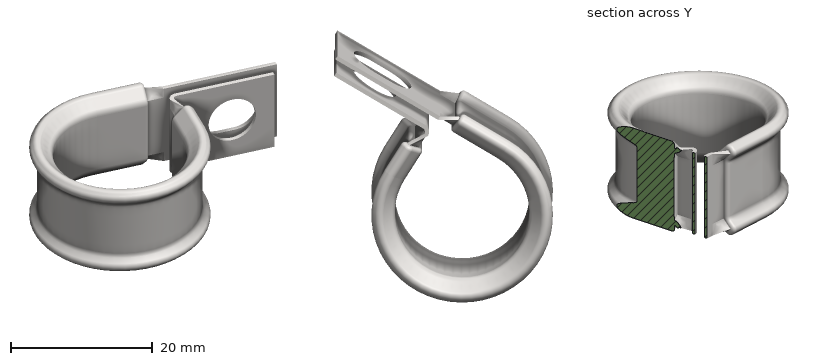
import cadquery as cq
import math


overall_width = 25.65
overall_height = 14.07
bore_radius = 9.5
outer_cover = 0.8
inner_cover = 0.8
lip_round = 0.8
lip_outer_center_z = 5.93
outer_bend_radius = 0.8
inner_bend_radius = 1.3
end_round = 0.55
long_arm_length = 7.85
short_arm_length = 5.02
loop_angle = 270

band_thickness = 0.6
band_height = 12.7
flare_length = 1.8
flare_angle = math.radians(45)
transition_length = 2.5
tab_bend_radius = 0.6

long_tab_end_y = 27.355
short_tab_end_y = 26.2
hole_y = 19.86
hole_diameter = 7.1
slot_length = 9.5

metal_inner = bore_radius + inner_cover
metal_outer = metal_inner + band_thickness
cushion_outer = metal_outer + outer_cover
half_band = band_height / 2
bend_start_x = -(short_arm_length + transition_length)
bend_center_y = metal_outer + tab_bend_radius
bend_outer_radius = tab_bend_radius + band_thickness
short_tab_outer_x = bend_start_x - bend_outer_radius


def polar(center, radius, degrees):
    """Point at an angle on a circle."""
    angle = math.radians(degrees)
    return (center[0] + radius * math.cos(angle), center[1] + radius * math.sin(angle))


def cushion_section():
    """Closed cushion section at the -X side of the loop, in the XZ plane."""
    lip_outer = (overall_width / 2 - lip_round, lip_outer_center_z)
    tip_z = overall_height / 2 - lip_round
    lip_inner = (lip_outer[0] - (tip_z - lip_outer_center_z), tip_z)

    outer_side = polar(lip_outer, lip_round, -45)
    inner_side = polar(lip_inner, lip_round, 135)
    outer_bend_r = cushion_outer + outer_bend_radius
    inner_bend_r = bore_radius + inner_bend_radius
    diagonal = math.sqrt(2)
    outer_bend = (
        outer_bend_r,
        outer_side[1] - outer_side[0] + outer_bend_r - diagonal * outer_bend_radius,
    )
    inner_bend = (
        inner_bend_r,
        inner_side[1] - inner_side[0] + inner_bend_r - diagonal * inner_bend_radius,
    )

    arcs = [
        (outer_bend, outer_bend_radius, 180, 135),
        (lip_outer, lip_round, -45, 45),
        (lip_inner, lip_round, 45, 135),
        (inner_bend, inner_bend_radius, 135, 180),
    ]
    upper = [
        [polar(c, radius, angle) for angle in (start, (start + end) / 2, end)]
        for c, radius, start, end in arcs
    ]
    lower = [[(r, -z) for r, z in reversed(arc)] for arc in reversed(upper)]

    outline = cq.Workplane("XZ").moveTo(-cushion_outer, 0)
    for arc in upper + lower:
        begin, middle, finish = [(-r, z) for r, z in arc]
        outline = outline.lineTo(*begin).threePointArc(middle, finish)
    return outline.close()


def flat_and_flared_sections():
    """Matching (x, z) corners of the band with its edges flat and with its edges flared."""
    outer_fold_z = half_band - flare_length
    inner_fold_z = outer_fold_z + band_thickness * math.tan(flare_angle / 2)
    tip_r = metal_outer + flare_length * math.sin(flare_angle)
    tip_z = outer_fold_z + flare_length * math.cos(flare_angle)
    inner_tip_r = tip_r - band_thickness * math.cos(flare_angle)
    inner_tip_z = tip_z + band_thickness * math.sin(flare_angle)

    flat = [
        (metal_outer, outer_fold_z),
        (metal_outer, half_band),
        (metal_inner, half_band),
        (metal_inner, inner_fold_z),
    ]
    flared = [
        (metal_outer, outer_fold_z),
        (tip_r, tip_z),
        (inner_tip_r, inner_tip_z),
        (metal_inner, inner_fold_z),
    ]

    def closed(half):
        return [(-r, z) for r, z in half] + [(-r, -z) for r, z in reversed(half)]

    return closed(flat), closed(flared)


def arm(length):
    """Straight cushion along +Y with a rounded end, and the band folding flat beyond it."""
    cushion = cushion_section().extrude(-length)
    cushion = cushion.faces(">Y").edges().fillet(end_round)

    flat, flared = flat_and_flared_sections()
    transition = (
        cq.Workplane("XZ", origin=(0, length, 0))
        .polyline(flared).close()
        .workplane(offset=-transition_length)
        .polyline(flat).close()
        .loft(ruled=True)
    )
    return cushion.union(transition)


def long_tab():
    """Straight tab with a slot along Y."""
    start_y = long_arm_length + transition_length
    tab = cq.Workplane("XY").box(
        band_thickness, long_tab_end_y - start_y, band_height, centered=(False, False, True)
    ).translate((-metal_outer, start_y, 0))
    slot = (
        cq.Workplane("YZ", origin=(-metal_outer, hole_y, 0))
        .slot2D(slot_length, hole_diameter)
        .extrude(band_thickness)
    )
    return tab.cut(slot)


def short_tab():
    """Tab bent up from the short arm, parallel to the long tab, with a round hole."""
    center = (bend_start_x, bend_center_y)
    tab = (
        cq.Workplane("XY", origin=(0, 0, -half_band))
        .moveTo(bend_start_x, metal_inner)
        .threePointArc(polar(center, bend_outer_radius, 225), polar(center, bend_outer_radius, 180))
        .lineTo(short_tab_outer_x, short_tab_end_y)
        .lineTo(short_tab_outer_x + band_thickness, short_tab_end_y)
        .lineTo(*polar(center, tab_bend_radius, 180))
        .threePointArc(polar(center, tab_bend_radius, 225), polar(center, tab_bend_radius, 270))
        .close()
        .extrude(band_height)
    )
    hole = (
        cq.Workplane("YZ", origin=(short_tab_outer_x, hole_y, 0))
        .circle(hole_diameter / 2)
        .extrude(band_thickness)
    )
    return tab.cut(hole)


loop = cushion_section().revolve(loop_angle, (0, 0, 0), (0, 1, 0))
long_arm = arm(long_arm_length)
short_arm = arm(short_arm_length).rotate((0, 0, 0), (-1, 1, 0), 180)

result = loop.union(long_arm).union(short_arm).union(long_tab()).union(short_tab())